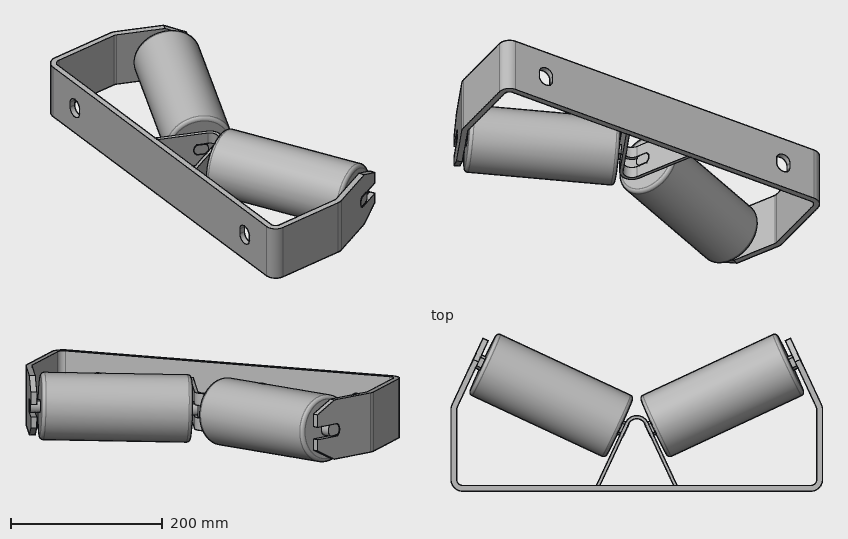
import cadquery as cq
import math

frame_length = 490.0
frame_height = 80.0
plate = 8.0
corner_radius = 15.5
arm_bend_y = 108.0
lean_angle = 25.0
lean_length = 96.5
tip_chamfer_along = 31.0
tip_chamfer_height = 15.5
half_length = frame_length / 2

bolt_slot_spacing = 365.0
bolt_slot_width = 20.0
bolt_slot_height = 28.0

drum_diameter = 89.0
drum_length = 199.0
drum_fillet = 5.0
axle_diameter = 19.5
axle_height = 15.0
axle_end_outer = 112.5
axle_end_inner = 109.0
roller_x = 112.5
roller_y = 126.5
roller_z = -4.0
roller_tilt = 1.8

support_thickness = 4.5
support_height = 50.0
support_apex_y = 100.0
support_radius = 16.0

slot_height = 16.5
slot_clearance = 0.5
frame_slot_z = -1.0
slot_depth = 12.5
slot_overrun = 2.5
support_z = -7.5

lean = math.radians(lean_angle)
seat_radius = axle_diameter / 2 + slot_clearance


def polar(centre, radius, angle):
    """Point at an angle in degrees around a centre, in the XY plane."""
    a = math.radians(angle)
    return (centre[0] + radius * math.cos(a), centre[1] + radius * math.sin(a))


def to_roller_place(part):
    """Turn a part drawn along X about the origin into the plan place of the left roller."""
    return part.rotate((0, 0, 0), (0, 0, 1), -lean_angle).translate((-roller_x, roller_y, 0))


def mirrored(part):
    return part.mirror("YZ")


def axle_slot(start, z):
    """Cutter around one end of the left axle: a rounded seat that runs off towards +Y.

    It begins at the distance `start` along the axle from the roller centre.
    """
    half_height = slot_height / 2
    seat_edge = math.sqrt(seat_radius**2 - half_height**2)
    cutter = (
        cq.Workplane("YZ", origin=(start, 0, z))
        .moveTo(frame_height, half_height)
        .lineTo(-seat_edge, half_height)
        .threePointArc((-seat_radius, 0), (-seat_edge, -half_height))
        .lineTo(frame_height, -half_height)
        .close()
        .extrude(slot_depth)
    )
    return to_roller_place(cutter)


def half_frame_plate():
    """Left half of the bent frame plate with its tip corners cut, before any slots."""
    inner_radius = corner_radius - plate
    corner = (-half_length + corner_radius, corner_radius)
    bend = (-half_length + corner_radius, arm_bend_y)
    lean_start = 180 - lean_angle
    lean_middle = 180 - lean_angle / 2
    outer_lean = polar(bend, corner_radius, lean_start)
    inner_lean = polar(bend, inner_radius, lean_start)
    along = (lean_length * math.sin(lean), lean_length * math.cos(lean))
    outer_tip = (outer_lean[0] + along[0], outer_lean[1] + along[1])
    inner_tip = (inner_lean[0] + along[0], inner_lean[1] + along[1])
    return (
        cq.Workplane("XY")
        .moveTo(0, 0)
        .lineTo(corner[0], 0)
        .threePointArc(polar(corner, corner_radius, 225), polar(corner, corner_radius, 180))
        .lineTo(-half_length, arm_bend_y)
        .threePointArc(polar(bend, corner_radius, lean_middle), outer_lean)
        .lineTo(*outer_tip)
        .lineTo(*inner_tip)
        .lineTo(*inner_lean)
        .threePointArc(polar(bend, inner_radius, lean_middle), polar(bend, inner_radius, 180))
        .lineTo(-half_length + plate, corner_radius)
        .threePointArc(polar(corner, inner_radius, 225), polar(corner, inner_radius, 270))
        .lineTo(0, plate)
        .close()
        .extrude(frame_height / 2, both=True)
        .cut(tip_chamfers(outer_tip))
    )


def tip_chamfers(tip):
    """Wedges that cut the top and bottom corners off the left arm tip."""
    top = frame_height / 2
    wedge = (
        cq.Workplane("YZ")
        .moveTo(0, top)
        .lineTo(-tip_chamfer_along, top)
        .lineTo(0, top - tip_chamfer_height)
        .close()
        .extrude(2 * plate, both=True)
    )
    wedges = wedge.union(wedge.mirror("XY"))
    return wedges.rotate((0, 0, 0), (0, 0, 1), -lean_angle).translate((*tip, 0))


def make_frame():
    half = half_frame_plate().cut(axle_slot(-axle_end_outer - slot_overrun, frame_slot_z))
    bolt_slots = (
        cq.Workplane("XZ")
        .pushPoints([(-bolt_slot_spacing / 2, 0), (bolt_slot_spacing / 2, 0)])
        .slot2D(bolt_slot_height, bolt_slot_width, 90)
        .extrude(-plate)
    )
    return half.union(mirrored(half)).cut(bolt_slots)


def make_support():
    centre = (0, support_apex_y - support_radius)
    inner_radius = support_radius - support_thickness
    outer_left = polar(centre, support_radius, 180 - lean_angle)
    inner_left = polar(centre, inner_radius, 180 - lean_angle)
    outer_foot = outer_left[0] - (outer_left[1] - plate) * math.tan(lean)
    inner_foot = inner_left[0] - (inner_left[1] - plate) * math.tan(lean)
    profile = (
        cq.Workplane("XY", origin=(0, 0, support_z))
        .moveTo(outer_foot, plate)
        .lineTo(*outer_left)
        .threePointArc((0, support_apex_y), (-outer_left[0], outer_left[1]))
        .lineTo(-outer_foot, plate)
        .lineTo(-inner_foot, plate)
        .lineTo(-inner_left[0], inner_left[1])
        .threePointArc((0, centre[1] + inner_radius), inner_left)
        .lineTo(inner_foot, plate)
        .close()
        .extrude(support_height / 2, both=True)
    )
    slot = axle_slot(axle_end_inner + slot_overrun - slot_depth, support_z)
    apex_opening = (
        cq.Workplane("XY", origin=(*centre, support_z))
        .box(2 * support_radius, 2 * support_radius, slot_height, centered=(True, False, True))
    )
    return profile.cut(slot).cut(mirrored(slot)).cut(apex_opening)


def make_roller():
    """Left roller: filleted drum and flattened axle, its inner end tilted down."""
    drum = (
        cq.Workplane("YZ", origin=(-drum_length / 2, 0, 0))
        .circle(drum_diameter / 2)
        .extrude(drum_length)
        .edges()
        .fillet(drum_fillet)
    )
    axle_length = axle_end_outer + axle_end_inner
    axle = (
        cq.Workplane("YZ", origin=(-axle_end_outer, 0, 0))
        .circle(axle_diameter / 2)
        .extrude(axle_length)
        .intersect(cq.Workplane("XY").box(2 * axle_length, axle_diameter, axle_height))
    )
    roller = drum.union(axle).rotate((0, 0, 0), (0, 1, 0), roller_tilt)
    return to_roller_place(roller).translate((0, 0, roller_z))


frame = make_frame()
support = make_support()
left_roller = make_roller()
rollers = [left_roller, mirrored(left_roller)]

result = cq.Compound.makeCompound([frame.val(), support.val(), *[roller.val() for roller in rollers]])